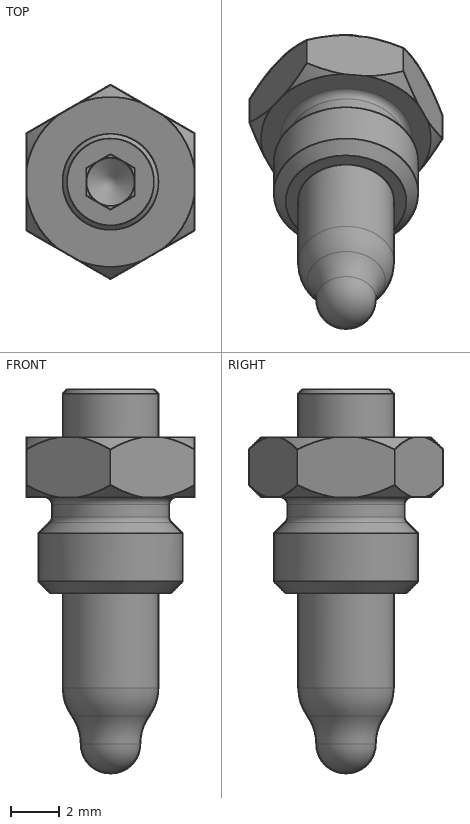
import cadquery as cq
import math

TOTAL_LENGTH = 16.0
PIN_RADIUS = 2.0
PIN_CHAMFER = 0.2
TIP_RADIUS = 1.25
SHOULDER_RADIUS = PIN_RADIUS
BLEND_RADIUS = PIN_RADIUS

SOCKET_ACROSS_FLATS = 2.0
SOCKET_DEPTH = 2.0
DRILL_POINT_ANGLE = 120.0

HEAD_ACROSS_FLATS = 7.0
HEAD_TOP = 14.0
HEAD_HEIGHT = 2.5
HEAD_FACE_RADIUS = 3.54
NECK_RADIUS = 2.45
NECK_FILLET = 0.3
COLLAR_RADIUS = 3.0
COLLAR_BOTTOM = 7.5
COLLAR_LENGTH = 2.5
COLLAR_CHAMFER = 0.5

HEAD_BOTTOM = HEAD_TOP - HEAD_HEIGHT
COLLAR_TOP = COLLAR_BOTTOM + COLLAR_LENGTH
SIN_45 = math.sin(math.radians(45))


def hexagon(across_flats, bottom, height):
    """Hexagonal prism with two corners on the Y axis."""
    across_corners = across_flats / math.cos(math.radians(30))
    return (
        cq.Workplane("XY", origin=(0, 0, bottom))
        .polygon(6, across_corners)
        .extrude(height)
        .rotate((0, 0, 0), (0, 0, 1), 30)
    )


def revolve_profile(profile):
    """Turn a closed (radius, height) profile about the Z axis."""
    return profile.close().revolve(360, (0, 0, 0), (0, 1, 0))


def point_on_arc(center, radius, degrees):
    angle = math.radians(degrees)
    return (center[0] + radius * math.cos(angle), center[1] + radius * math.sin(angle))


def pin_blank():
    blend_center = (TIP_RADIUS + BLEND_RADIUS, TIP_RADIUS)
    center_distance = SHOULDER_RADIUS + BLEND_RADIUS
    slope = math.degrees(math.acos(blend_center[0] / center_distance))
    shoulder_center = (0, TIP_RADIUS + center_distance * math.sin(math.radians(slope)))
    tip_center = (0, TIP_RADIUS)
    return revolve_profile(
        cq.Workplane("XZ")
        .moveTo(0, 0)
        .threePointArc(point_on_arc(tip_center, TIP_RADIUS, -45), (TIP_RADIUS, TIP_RADIUS))
        .threePointArc(
            point_on_arc(blend_center, BLEND_RADIUS, 180 - slope / 2),
            point_on_arc(blend_center, BLEND_RADIUS, 180 - slope),
        )
        .threePointArc(
            point_on_arc(shoulder_center, SHOULDER_RADIUS, -slope / 2),
            (PIN_RADIUS, shoulder_center[1]),
        )
        .lineTo(PIN_RADIUS, TOTAL_LENGTH - PIN_CHAMFER)
        .lineTo(PIN_RADIUS - PIN_CHAMFER, TOTAL_LENGTH)
        .lineTo(0, TOTAL_LENGTH)
    )


def socket_cutter():
    floor = TOTAL_LENGTH - SOCKET_DEPTH
    drill_radius = SOCKET_ACROSS_FLATS / 2
    drill_point_depth = drill_radius / math.tan(math.radians(DRILL_POINT_ANGLE / 2))
    drill_point = revolve_profile(
        cq.Workplane("XZ")
        .moveTo(0, floor - drill_point_depth)
        .lineTo(drill_radius, floor)
        .lineTo(0, floor)
    )
    return hexagon(SOCKET_ACROSS_FLATS, floor, SOCKET_DEPTH).union(drill_point)


def make_pin():
    return pin_blank().cut(socket_cutter())


def hexagon_head():
    """Hexagon with 45 degree turned chamfers on its corners, top and bottom."""
    middle_radius = HEAD_FACE_RADIUS + HEAD_HEIGHT / 2
    double_cone = revolve_profile(
        cq.Workplane("XZ")
        .moveTo(0, HEAD_BOTTOM)
        .lineTo(HEAD_FACE_RADIUS, HEAD_BOTTOM)
        .lineTo(middle_radius, HEAD_BOTTOM + HEAD_HEIGHT / 2)
        .lineTo(HEAD_FACE_RADIUS, HEAD_TOP)
        .lineTo(0, HEAD_TOP)
    )
    return hexagon(HEAD_ACROSS_FLATS, HEAD_BOTTOM, HEAD_HEIGHT).intersect(double_cone)


def neck_and_collar():
    fillet_axis_radius = NECK_RADIUS + NECK_FILLET
    cone_top_radius = fillet_axis_radius - NECK_FILLET * SIN_45
    cone_top = COLLAR_TOP + COLLAR_RADIUS - cone_top_radius
    lower_center = (fillet_axis_radius, cone_top + NECK_FILLET * SIN_45)
    upper_center = (fillet_axis_radius, HEAD_BOTTOM - NECK_FILLET)
    return revolve_profile(
        cq.Workplane("XZ")
        .moveTo(0, COLLAR_BOTTOM)
        .lineTo(COLLAR_RADIUS - COLLAR_CHAMFER, COLLAR_BOTTOM)
        .lineTo(COLLAR_RADIUS, COLLAR_BOTTOM + COLLAR_CHAMFER)
        .lineTo(COLLAR_RADIUS, COLLAR_TOP)
        .lineTo(cone_top_radius, cone_top)
        .threePointArc(
            point_on_arc(lower_center, NECK_FILLET, 202.5),
            (NECK_RADIUS, lower_center[1]),
        )
        .lineTo(NECK_RADIUS, upper_center[1])
        .threePointArc(
            point_on_arc(upper_center, NECK_FILLET, 135),
            (fillet_axis_radius, HEAD_BOTTOM),
        )
        .lineTo(0, HEAD_BOTTOM)
    )


def make_housing():
    bore = (
        cq.Workplane("XY", origin=(0, 0, COLLAR_BOTTOM))
        .circle(PIN_RADIUS)
        .extrude(HEAD_TOP - COLLAR_BOTTOM)
    )
    return hexagon_head().union(neck_and_collar()).cut(bore)


pin = make_pin().solids()
housing = make_housing().solids()
result = cq.Compound.makeCompound([pin.val(), housing.val()])